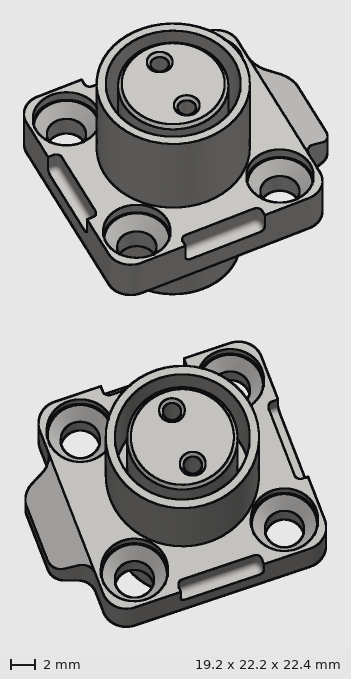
import cadquery as cq
import math

flange_width = 19.2
flange_thickness = 4.0
flange_corner_radius = 2.0

barrel_diameter = 12.5
barrel_wall = 0.75
barrel_height = 8.4
insulator_diameter = 9.0
insulator_chamfer = 0.3
lower_body_diameter = 11.0
lower_body_height = 8.4

contact_spacing = 5.0
socket_diameter = 1.5
socket_chamfer = 0.3
socket_depth = barrel_height
pin_diameter = 1.5
pin_length = 1.6

hole_spacing = 13.0
hole_diameter = 3.2
counterbore_diameter = 5.5
counterbore_depth = 1.0
countersink_diameter = 5.3
countersink_angle = 90.0

recess_length = 7.2
recess_inset = 1.0
recess_depth = 2.0
recess_radius = 0.5

tab_reach = 3.0
tab_slope_drop = 2.0
tab_radius = 1.5
tab_arc_reach = 1.0
tab_tip_half_width = 2.55

half_width = flange_width / 2
flange_top = flange_thickness
barrel_top = flange_top + barrel_height
contact_points = [(-contact_spacing / 2, 0), (contact_spacing / 2, 0)]


def cylinder(diameter, bottom, height):
    """Cylinder on the Z axis."""
    return cq.Workplane("XY").workplane(offset=bottom).circle(diameter / 2).extrude(height)


def make_flange():
    plate = cq.Workplane("XY").rect(flange_width, flange_width).extrude(flange_thickness)
    return plate.edges("|Z").fillet(flange_corner_radius)


def make_tab():
    """Tab with leaning sides, rounded tip corners and flared roots, its top sloping down to the tip."""
    lean = math.asin(1 - tab_arc_reach / tab_radius)
    arc_run = tab_radius * math.cos(lean)
    straight_rise = tab_reach - 2 * tab_arc_reach
    straight_run = straight_rise * math.tan(lean)

    tip_y = half_width + tab_reach
    upper_x = tab_tip_half_width + arc_run
    upper_y = tip_y - tab_arc_reach
    lower_x = upper_x + straight_run
    lower_y = half_width + tab_arc_reach
    root_x = lower_x + arc_run
    embedded_y = half_width - tab_arc_reach

    outline = (
        cq.Workplane("XY")
        .moveTo(-root_x, embedded_y)
        .lineTo(-root_x, half_width)
        .radiusArc((-lower_x, lower_y), -tab_radius)
        .lineTo(-upper_x, upper_y)
        .radiusArc((-tab_tip_half_width, tip_y), tab_radius)
        .lineTo(tab_tip_half_width, tip_y)
        .radiusArc((upper_x, upper_y), tab_radius)
        .lineTo(lower_x, lower_y)
        .radiusArc((root_x, half_width), -tab_radius)
        .lineTo(root_x, embedded_y)
        .close()
        .extrude(flange_thickness)
    )
    slope_cutter = (
        cq.Workplane("YZ")
        .moveTo(half_width, flange_top)
        .lineTo(tip_y, flange_top - tab_slope_drop)
        .lineTo(tip_y, flange_top)
        .close()
        .extrude(root_x, both=True)
    )
    return outline.cut(slope_cutter)


def make_barrel():
    """Open sleeve around the chamfered insulator, both rising from the flange."""
    bore_diameter = barrel_diameter - 2 * barrel_wall
    sleeve = cylinder(barrel_diameter, flange_top, barrel_height)
    sleeve = sleeve.cut(cylinder(bore_diameter, flange_top, barrel_height))
    insulator = cylinder(insulator_diameter, flange_top, barrel_height)
    return sleeve.union(insulator.faces(">Z").chamfer(insulator_chamfer))


def make_pins():
    pins = cq.Workplane("XY").workplane(offset=-lower_body_height)
    return pins.pushPoints(contact_points).circle(pin_diameter / 2).extrude(-pin_length)


def make_socket_cutter():
    """Blind hole with a chamfered mouth, revolved about the Z axis."""
    radius = socket_diameter / 2
    return (
        cq.Workplane("XZ")
        .moveTo(0, barrel_top)
        .lineTo(radius + socket_chamfer, barrel_top)
        .lineTo(radius, barrel_top - socket_chamfer)
        .lineTo(radius, barrel_top - socket_depth)
        .lineTo(0, barrel_top - socket_depth)
        .close()
        .revolve()
    )


def make_mounting_hole_cutter():
    """Through hole with a conical seat below a shallow counterbore, revolved about the Z axis."""
    seat_top = flange_top - counterbore_depth
    seat_depth = (countersink_diameter - hole_diameter) / 2 / math.tan(math.radians(countersink_angle / 2))
    return (
        cq.Workplane("XZ")
        .moveTo(0, flange_top)
        .lineTo(counterbore_diameter / 2, flange_top)
        .lineTo(counterbore_diameter / 2, seat_top)
        .lineTo(countersink_diameter / 2, seat_top)
        .lineTo(hole_diameter / 2, seat_top - seat_depth)
        .lineTo(hole_diameter / 2, 0)
        .lineTo(0, 0)
        .close()
        .revolve()
    )


def make_recess_cutter():
    """Block for the -Y side, rounded along its floor, back and end edges and overshooting the flange."""
    block = (
        cq.Workplane("XY")
        .box(recess_length, 2 * recess_inset, 2 * recess_depth)
        .edges("|Z and >Y or |X and >Y and <Z or |Y and <Z")
        .fillet(recess_radius)
    )
    return block.translate((0, -half_width, flange_top))


result = make_flange().union(make_tab())
result = result.union(cylinder(lower_body_diameter, -lower_body_height, lower_body_height))
result = result.union(make_barrel()).union(make_pins())

for x, y in contact_points:
    result = result.cut(make_socket_cutter().translate((x, y, 0)))

for x_side in (-1, 1):
    for y_side in (-1, 1):
        hole_position = (x_side * hole_spacing / 2, y_side * hole_spacing / 2, 0)
        result = result.cut(make_mounting_hole_cutter().translate(hole_position))

for turn in (-90, 0, 90):
    result = result.cut(make_recess_cutter().rotate((0, 0, 0), (0, 0, 1), turn))